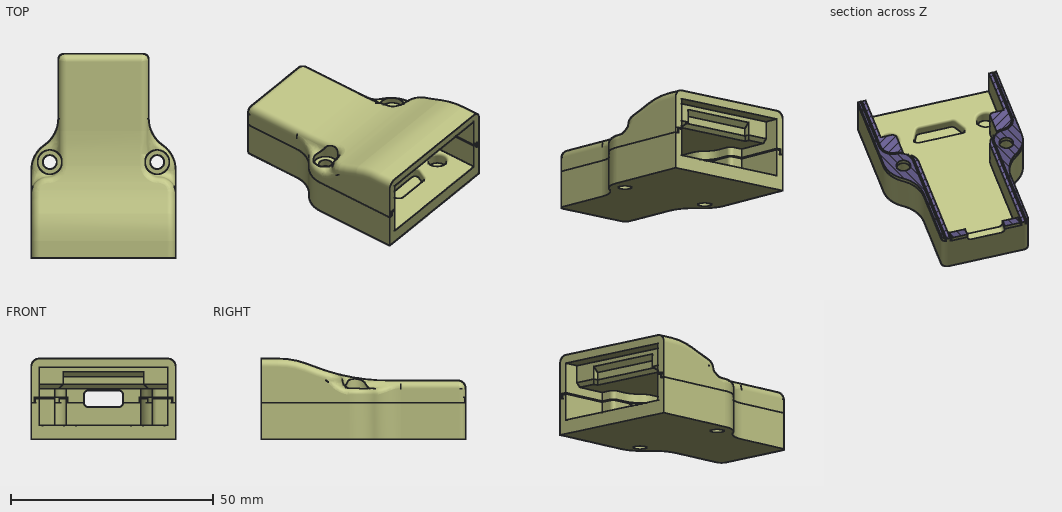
import cadquery as cq
import math

length = 50.55
front_half = 35.75 / 2
neck_half = 22.45 / 2
wall = 2.0
far = 2 * length

top_z = 20.0
neck_top_z = 14.6
roof_flat = 4.2
roof_crest_radius = 20.0
roof_valley_radius = 50.0
roof_slope = math.radians(20)
roof_fillet = 2.0
foot_fillet = 2.0

shoulder_y = 15.95
hollow_radius = 2.5
shoulder_radius = front_half - neck_half - hollow_radius
hollow_y = shoulder_y + shoulder_radius

ear_top_z = 12.65
ear_start_y = 21.8
ear_radius = 7.5
ear_blend_radius = 8.0
ear_turn = math.acos(1 - (front_half - neck_half) / (ear_radius + ear_blend_radius))
ear_bend_x = front_half - ear_radius * (1 - math.cos(ear_turn))
ear_bend_y = ear_start_y + ear_radius * math.sin(ear_turn)
ear_end_y = ear_bend_y + ear_blend_radius * math.sin(ear_turn)
edge_fillet = 1.5

screw_x = 26.55 / 2
screw_y = 23.75
screw_dia = 3.4
head_dia = 6.0
head_seat_z = 11.0

floor_z = 3.5
neck_ceiling_z = 12.6
chamber_half = front_half - wall
chamber_end_y = 12.95
throat_half = 12.05
throat_corner_radius = 1.1
neck_cavity_half = neck_half - wall
back_wall_y = length - wall
boss_radius = screw_x - neck_cavity_half
boss_blend_radius = 5.0

bay_ceiling_z = 17.9
bay_depth = 4.0
recess_half = 10.0
recess_depth = 1.3
recess_ceiling_z = 16.8
ceiling_flare = 1.0

seam_z = 9.1
lip_inset = 1.0
lip_height = 1.0
joint_gap = 0.3

port_width = 9.6
port_height = 4.05
port_z = 10.05
port_radius = 1.0

round_pocket_z = 0.5
round_pocket_dia = 4.5
round_pocket_x = 12.45
round_pocket_y = 8.85
round_pocket_fillet = 0.75
slot_z = 1.0
slot_front_y = 6.7
slot_back_y = 11.4
slot_front_half = 4.75
slot_back_half = 7.15
slot_corner_radius = 1.0
slot_fillet = 0.6


def roof_prism():
    """Everything under the roof line."""
    rise, run = math.sin(roof_slope), 1 - math.cos(roof_slope)
    crest_end_y = roof_flat + roof_crest_radius * rise
    crest_end_z = top_z - roof_crest_radius * run
    ramp_end_z = neck_top_z + roof_valley_radius * run
    ramp_end_y = crest_end_y + (crest_end_z - ramp_end_z) / math.tan(roof_slope)
    return (
        cq.Workplane("YZ")
        .lineTo(0, top_z)
        .lineTo(roof_flat, top_z)
        .radiusArc((crest_end_y, crest_end_z), roof_crest_radius)
        .lineTo(ramp_end_y, ramp_end_z)
        .radiusArc((ramp_end_y + roof_valley_radius * rise, neck_top_z), -roof_valley_radius)
        .lineTo(length, neck_top_z)
        .lineTo(length, 0)
        .close()
        .extrude(front_half, both=True)
    )


def raised_plan(inset):
    """Plan outline of the body without its ears, its sides and shoulders moved inwards by an inset."""
    return (
        cq.Workplane("XY")
        .lineTo(front_half - inset, 0)
        .lineTo(front_half - inset, shoulder_y)
        .radiusArc((front_half - shoulder_radius, hollow_y - inset), inset - shoulder_radius)
        .radiusArc((neck_half - inset, hollow_y + hollow_radius), hollow_radius + inset)
        .lineTo(neck_half - inset, length)
        .lineTo(0, length)
        .mirrorY()
    )


def raised_body():
    """Body without the ears, with its roof edges rounded."""
    plan = raised_plan(0).extrude(top_z)
    body = plan.intersect(roof_prism())

    def is_roof_edge(edge):
        middle = edge.Center()
        on_side = abs(middle.x) > neck_half - 0.5
        on_back = middle.y > length - 0.5
        is_level = edge.BoundingBox().zmin > neck_top_z - 0.05
        return is_level and middle.y > 0.5 and (on_side or on_back)

    return body.edges().filter(is_roof_edge).fillet(roof_fillet)


def eared_plan():
    """Plan outline of the whole case."""
    return (
        cq.Workplane("XY")
        .lineTo(front_half, 0)
        .lineTo(front_half, ear_start_y)
        .radiusArc((ear_bend_x, ear_bend_y), -ear_radius)
        .radiusArc((neck_half, ear_end_y), ear_blend_radius)
        .lineTo(neck_half, length)
        .lineTo(0, length)
        .mirrorY()
    )


def outer_case():
    """Solid outside of the closed case, ears blended into the raised body."""
    slab_margin = 4.05
    slab_start = shoulder_y - slab_margin
    slab_end = ear_end_y
    slab = (
        cq.Workplane("XY")
        .box(2 * (front_half + slab_margin), slab_end - slab_start, ear_top_z, centered=(True, False, False))
        .translate((0, slab_start, 0))
    )

    def is_foot_edge(edge):
        box = edge.BoundingBox()
        middle = edge.Center()
        at_ear_top = box.zlen < 0.005 and abs(box.zmin - ear_top_z) < 0.005
        beside_body = abs(middle.x) < front_half + 0.05
        return at_ear_top and beside_body and slab_start + 0.05 < middle.y < slab_end - 0.05

    def is_ear_rim(edge):
        on_top = abs(edge.Center().z - ear_top_z) < 0.005
        return on_top and edge.geomType() == "CIRCLE" and abs(edge.radius() - ear_radius) < 0.005

    def is_rear_corner(edge):
        return edge.Center().y > length - 0.05 and edge.BoundingBox().zlen > ear_top_z - 0.5

    blended = raised_body().union(slab).edges().filter(is_foot_edge).fillet(foot_fillet)
    case = blended.intersect(eared_plan().extrude(top_z))
    case = case.edges().filter(is_ear_rim).fillet(edge_fillet)
    return case.edges().filter(is_rear_corner).fillet(edge_fillet)


def at_screws(tool):
    return tool.translate((screw_x, screw_y, 0)).union(tool.translate((-screw_x, screw_y, 0)))


def screw_holes():
    return at_screws(cq.Workplane("XY").circle(screw_dia / 2).extrude(far))


def head_recesses():
    return at_screws(cq.Workplane("XY").workplane(offset=head_seat_z).circle(head_dia / 2).extrude(far))


def cavity(blended):
    """Cavity up to the neck ceiling; the bosses are blended into the throat walls if asked."""
    corner_x = throat_half + throat_corner_radius
    outline = (
        cq.Workplane("XY")
        .workplane(offset=floor_z)
        .lineTo(chamber_half, 0)
        .lineTo(chamber_half, chamber_end_y)
        .lineTo(corner_x, chamber_end_y)
        .radiusArc((throat_half, chamber_end_y + throat_corner_radius), throat_corner_radius)
    )
    if blended:
        centre_gap = boss_radius + boss_blend_radius
        across = screw_x - throat_half + boss_blend_radius
        along = math.sqrt(centre_gap**2 - across**2)
        meet_x = screw_x - boss_radius * across / centre_gap
        meet_y = screw_y - boss_radius * along / centre_gap
        outline = outline.lineTo(throat_half, screw_y - along)
        outline = outline.radiusArc((meet_x, meet_y), -boss_blend_radius)
    else:
        along = math.sqrt(boss_radius**2 - (screw_x - throat_half) ** 2)
        outline = outline.lineTo(throat_half, screw_y - along)
    return (
        outline.radiusArc((neck_cavity_half, screw_y), boss_radius)
        .lineTo(neck_cavity_half, back_wall_y)
        .lineTo(0, back_wall_y)
        .mirrorY()
        .extrude(neck_ceiling_z - floor_z)
    )


def raised_ceiling():
    """Bay and recess above the neck ceiling, their lower edges flared at 45 degrees."""
    flare_top_z = neck_ceiling_z + ceiling_flare
    bay = (
        cq.Workplane("YZ")
        .moveTo(0, neck_ceiling_z)
        .lineTo(bay_depth + ceiling_flare, neck_ceiling_z)
        .lineTo(bay_depth, flare_top_z)
        .lineTo(bay_depth, bay_ceiling_z)
        .lineTo(0, bay_ceiling_z)
        .close()
        .extrude(chamber_half, both=True)
    )
    recess_end = bay_depth + recess_depth
    recess = (
        cq.Workplane("YZ")
        .moveTo(0, neck_ceiling_z)
        .lineTo(recess_end, neck_ceiling_z)
        .lineTo(recess_end, recess_ceiling_z - recess_depth)
        .lineTo(bay_depth, recess_ceiling_z)
        .lineTo(0, recess_ceiling_z)
        .close()
        .extrude(recess_half, both=True)
    )
    flare = (
        cq.Workplane("XY")
        .workplane(offset=neck_ceiling_z)
        .center(0, recess_end / 2)
        .rect(2 * (recess_half + ceiling_flare), recess_end + 2 * ceiling_flare)
        .extrude(ceiling_flare, taper=45)
    )
    return bay.union(recess).union(flare)


def port():
    return (
        cq.Workplane("XZ", origin=(0, back_wall_y - 0.5, port_z))
        .rect(port_width, port_height)
        .extrude(-length)
        .edges("|Y")
        .fillet(port_radius)
    )


def joint_band(outer_inset, inner_half, height):
    """Step above the seam, inside the raised outline and on both sides of the back wall."""
    band = raised_plan(outer_inset).extrude(height)
    back_wall = (
        cq.Workplane("XY")
        .box(2 * inner_half, length - back_wall_y, height, centered=(True, False, False))
        .translate((0, back_wall_y, 0))
    )
    return band.cut(back_wall).translate((0, 0, seam_z))


def below_seam():
    return cq.Workplane("XY").box(far, 2 * far, seam_z, centered=(True, True, False))


def round_pocket():
    rim_radius = round_pocket_dia / 2 + round_pocket_fillet
    return (
        cq.Workplane("XZ")
        .moveTo(0, round_pocket_z)
        .lineTo(round_pocket_dia / 2, round_pocket_z)
        .lineTo(round_pocket_dia / 2, floor_z - round_pocket_fillet)
        .radiusArc((rim_radius, floor_z), round_pocket_fillet)
        .lineTo(0, floor_z)
        .close()
        .revolve(360, (0, 0, 0), (0, 1, 0))
    )


def base_body(case):
    lip = case.intersect(joint_band(lip_inset, neck_cavity_half, lip_height))
    base = case.intersect(below_seam()).union(lip)
    base = base.cut(cavity(blended=False)).cut(screw_holes()).cut(port())
    for side in (-1, 1):
        base = base.cut(round_pocket().translate((side * round_pocket_x, round_pocket_y, 0)))
    return cut_connector_slot(base)


def cut_connector_slot(base):
    """D-shaped pocket in the floor with a rounded rim."""
    slot = (
        cq.Workplane("XY")
        .workplane(offset=slot_z)
        .polyline(
            [
                (-slot_front_half, slot_front_y),
                (slot_front_half, slot_front_y),
                (slot_back_half, slot_back_y),
                (-slot_back_half, slot_back_y),
            ]
        )
        .close()
        .extrude(floor_z - slot_z)
        .edges("|Z")
        .fillet(slot_corner_radius)
    )

    def is_slot_rim(edge):
        middle = edge.Center()
        box = edge.BoundingBox()
        on_floor = box.zlen < 0.005 and abs(middle.z - floor_z) < 0.005
        in_length = slot_front_y - 0.05 < middle.y < slot_back_y + 0.05
        return on_floor and in_length and abs(middle.x) < slot_back_half

    return base.cut(slot).edges().filter(is_slot_rim).fillet(slot_fillet)


def lid_body(case):
    groove = joint_band(lip_inset - joint_gap, neck_cavity_half - joint_gap, lip_height + joint_gap)
    lid = case.cut(below_seam()).cut(groove)
    lid = lid.cut(cavity(blended=True)).cut(raised_ceiling())
    return lid.cut(screw_holes()).cut(head_recesses()).cut(port())


case = outer_case()
base = base_body(case)
lid = lid_body(case)
result = cq.Compound.makeCompound([base.solids().val(), lid.solids().val()])